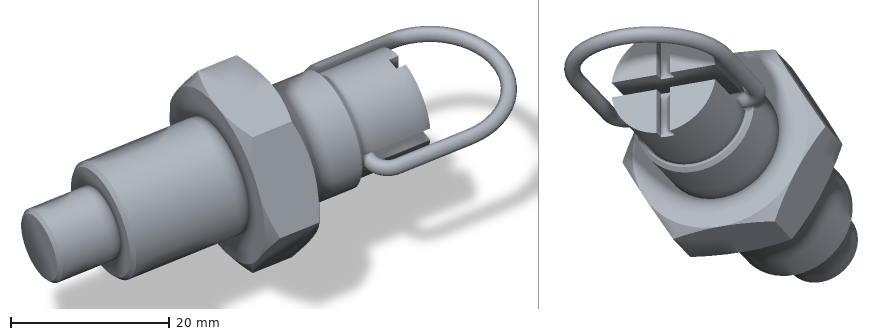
import cadquery as cq
import math

housing_front = 9.0
nut_front = 26.0
nut_length = 8.0
shank_end = 43.0
neck_end = 53.0
total_length = 68.0

pin_radius = 5.0
pin_chamfer = 0.5

shank_radius = 8.0
shank_chamfer = 0.55
neck_radius = 7.15
notch_width = 1.85
notch_depth = 1.4

nut_across_flats = 24.0
nut_across_corners = nut_across_flats / math.cos(math.radians(30))
nut_chamfer_angle = 32.0

wire_radius = 1.0
ring_outer_radius = 11.0
ring_bend_radius = 2.5
ring_radius = ring_outer_radius - wire_radius
ring_arc_y = total_length - ring_outer_radius
crossbar_y = shank_end + wire_radius
bend_center_y = crossbar_y + ring_bend_radius
bend_start_x = ring_radius - ring_bend_radius

pin_end = crossbar_y + 2 * wire_radius


def cylinder_y(radius, start, end):
    """Cylinder about the Y axis between two stations."""
    return cq.Workplane("XZ", origin=(0, start, 0)).circle(radius).extrude(start - end)


def make_pin():
    pin = cylinder_y(pin_radius, 0, pin_end).faces("<Y").chamfer(pin_chamfer)
    crossbar_hole = (
        cq.Workplane("YZ").center(crossbar_y, 0).circle(wire_radius).extrude(pin_radius, both=True)
    )
    return pin.cut(crossbar_hole)


def make_housing():
    shank = cylinder_y(shank_radius, housing_front, shank_end).faces("<Y or >Y").chamfer(shank_chamfer)
    housing = shank.union(cylinder_y(neck_radius, shank_end, neck_end))

    housing = housing.cut(cylinder_y(pin_radius, housing_front, pin_end))

    ring_slot = cq.Workplane("XY").box(
        2 * neck_radius, neck_end - shank_end, 2 * wire_radius, centered=(True, False, True)
    ).translate((0, shank_end, 0))

    notch = cq.Workplane("XY").box(
        notch_width, notch_depth, 2 * neck_radius, centered=(True, False, True)
    ).translate((0, neck_end - notch_depth, 0))
    return housing.cut(ring_slot).cut(notch)


def make_nut():
    nut_back = nut_front + nut_length
    hexagon = (
        cq.Workplane("XZ", origin=(0, nut_front, 0)).polygon(6, nut_across_corners).extrude(-nut_length)
    )

    face_radius = nut_across_flats / 2
    corner_radius = nut_across_corners / 2
    chamfer_length = (corner_radius - face_radius) * math.tan(math.radians(nut_chamfer_angle))
    chamfer_envelope = (
        cq.Workplane("XY")
        .moveTo(0, nut_front)
        .lineTo(face_radius, nut_front)
        .lineTo(corner_radius, nut_front + chamfer_length)
        .lineTo(corner_radius, nut_back - chamfer_length)
        .lineTo(face_radius, nut_back)
        .lineTo(0, nut_back)
        .close()
        .revolve(360, (0, 0, 0), (0, 1, 0))
    )
    return hexagon.intersect(chamfer_envelope).cut(cylinder_y(shank_radius, nut_front, nut_back))


def make_ring():
    bend_offset = ring_bend_radius * math.sin(math.radians(45))
    bend_mid_x = bend_start_x + bend_offset
    bend_mid_y = bend_center_y - bend_offset
    path = (
        cq.Workplane("XY")
        .moveTo(0, crossbar_y)
        .lineTo(bend_start_x, crossbar_y)
        .threePointArc((bend_mid_x, bend_mid_y), (ring_radius, bend_center_y))
        .lineTo(ring_radius, ring_arc_y)
        .threePointArc((0, ring_arc_y + ring_radius), (-ring_radius, ring_arc_y))
        .lineTo(-ring_radius, bend_center_y)
        .threePointArc((-bend_mid_x, bend_mid_y), (-bend_start_x, crossbar_y))
        .close()
    )
    return cq.Workplane("YZ").center(crossbar_y, 0).circle(wire_radius).sweep(path)


pin = make_pin()
housing = make_housing()
nut = make_nut()
ring = make_ring()

bodies = [pin, housing, nut, ring]
result = cq.Compound.makeCompound([body.solids().val() for body in bodies])